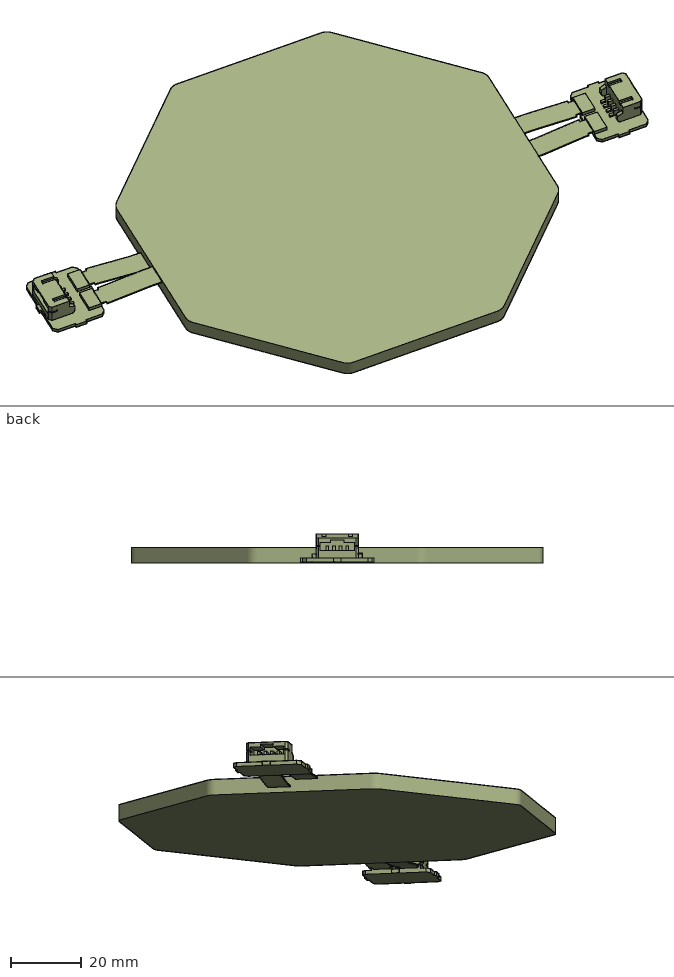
import cadquery as cq
import math

plate_sides = 8
plate_width = 116.3
plate_thickness = 4.5
plate_corner_radius = 3.7

overall_length = 187.2
end_drop = 1.1

board_width = 19.7
board_length = 16.1
board_thickness = 1.1
board_top = 2.6
board_corner = 1.1
side_ear_reach = 0.5
side_ear_width = 3.4
side_ear_offset = 8.2
end_ear_reach = 0.5
end_ear_width = 2.2

housing_width = 12.0
housing_top = 8.2
housing_setback = 0.4
housing_length = 6.2
mouth_chamfer = 0.7
arm_width = 1.1
arm_length = 1.7
arm_root_top = 6.0
arm_tip_top = 5.2
arm_tip_bottom = 3.4
arm_undercut = 0.5
wall_thickness = 1.1
back_wall = 0.7
cavity_floor = 4.7
cavity_roof = 7.0
keyway_width = 3.7
keyway_roof = 7.7
side_slot_depth = 2.5
side_slot_height = 0.4
side_slot_level = 5.8
roof_slot_width = 1.1
roof_slot_length = 4.0
roof_slot_depth = 0.7
roof_slot_offset = 3.7

pin_count = 4
pin_pitch = 1.9
pin_width = 0.7
prong_top = 6.0
prong_length = 3.4
leg_top = 4.7
leg_length = 1.5
foot_height = 0.5
foot_length = 2.8

ribbon_width = 6.4
ribbon_gap = 1.5
ribbon_thickness = 0.4
ribbon_board_level = 3.0
ribbon_high_level = 3.7
ribbon_low_level = 1.7
ribbon_flat = 3.4
ribbon_lead = 1.1
neck_length = 1.7
neck_width = 5.0
terminal_length = 4.0
terminal_height = 1.1

board_outer = overall_length / 2 - end_ear_reach
board_inner = board_outer - board_length
housing_mouth = housing_setback - board_outer
housing_back = housing_mouth + housing_length
plate_edge = plate_width / 2
ribbon_offset = (ribbon_width + ribbon_gap) / 2
ribbon_start = board_inner - neck_length


def box(width, y_start, y_end, z_bottom, z_top, x_center=0.0):
    """Axis-aligned block centred on x_center."""
    return (
        cq.Workplane("XY")
        .box(width, y_end - y_start, z_top - z_bottom, centered=(True, False, False))
        .translate((x_center, y_start, z_bottom))
    )


def make_octagon():
    half_step = 180 / plate_sides
    corner_diameter = plate_width / math.cos(math.radians(half_step))
    return (
        cq.Workplane("XY")
        .polygon(plate_sides, corner_diameter)
        .extrude(plate_thickness)
        .rotate((0, 0, 0), (0, 0, 1), half_step)
        .edges("|Z")
        .fillet(plate_corner_radius)
    )


def make_board():
    bottom = board_top - board_thickness
    board = box(board_width, -board_outer, -board_inner, bottom, board_top)
    board = board.edges("|Z").chamfer(board_corner)
    ear_y = side_ear_offset - board_outer
    side_ears = box(board_width + 2 * side_ear_reach, ear_y - side_ear_width / 2, ear_y + side_ear_width / 2,
                    bottom, board_top)
    end_ears = box(end_ear_width, -board_outer - end_ear_reach, -board_inner + end_ear_reach,
                   bottom, board_top)
    return board.union(side_ears).union(end_ears)


def make_housing_arm(x_center):
    """Arm behind a side wall, with a sloping top and an undercut foot."""
    return (
        cq.Workplane("YZ")
        .polyline([
            (housing_back, board_top),
            (housing_back + arm_length - arm_undercut, board_top),
            (housing_back + arm_length, arm_tip_bottom),
            (housing_back + arm_length, arm_tip_top),
            (housing_back, arm_root_top),
        ])
        .close()
        .extrude(arm_width / 2, both=True)
        .translate((x_center, 0, 0))
    )


def make_housing():
    """Connector housing, open towards the outer end of the board."""
    housing = box(housing_width, housing_mouth, housing_back, board_top, housing_top)
    housing = housing.faces("<Y").edges("|Z").chamfer(mouth_chamfer)

    cavity_back = housing_back - back_wall
    cavity_width = housing_width - 2 * wall_thickness
    cavity = box(cavity_width, housing_mouth, cavity_back, cavity_floor, cavity_roof)
    keyway = box(keyway_width, housing_mouth, cavity_back, cavity_roof, keyway_roof)
    side_slots = box(housing_width, housing_mouth, housing_mouth + side_slot_depth,
                     side_slot_level, side_slot_level + side_slot_height)
    housing = housing.cut(cavity).cut(keyway).cut(side_slots)

    arm_offset = (housing_width - arm_width) / 2
    for side in (-1, 1):
        roof_slot = box(roof_slot_width, housing_back - roof_slot_length, housing_back,
                        housing_top - roof_slot_depth, housing_top, side * roof_slot_offset)
        housing = housing.cut(roof_slot).union(make_housing_arm(side * arm_offset))
    return housing


def make_pin(x_center):
    """Contact with a prong in the cavity and a leg and foot behind the housing."""
    prong_start = housing_back - back_wall - prong_length
    prong = box(pin_width, prong_start, housing_back, cavity_floor, prong_top, x_center)
    leg = box(pin_width, housing_back, housing_back + leg_length, board_top, leg_top, x_center)
    foot = box(pin_width, housing_back, housing_back + foot_length, board_top, board_top + foot_height, x_center)
    return prong.union(leg).union(foot)


def make_terminal(x_center):
    """Terminal block on the board and the narrow neck that leads to the ribbon."""
    block = box(ribbon_width, -board_inner - terminal_length, -board_inner,
                board_top, board_top + terminal_height, x_center)
    neck = box(neck_width, -board_inner, -ribbon_start,
               ribbon_board_level - ribbon_thickness / 2, ribbon_board_level + ribbon_thickness / 2, x_center)
    return block.union(neck)


def make_connector_end():
    """Board, housing, pins and terminals of the -Y end."""
    end = make_board().union(make_housing())
    for index in range(pin_count):
        end = end.union(make_pin((index - (pin_count - 1) / 2) * pin_pitch))
    for side in (-1, 1):
        end = end.union(make_terminal(side * ribbon_offset))
    return end


def make_ribbon(x_center, front_level, back_level):
    """Full-length ribbon given its levels at the -Y and +Y edges of the plate."""
    flat_end = plate_edge + ribbon_flat
    lead_end = ribbon_start - ribbon_lead
    back_board_level = ribbon_board_level - end_drop
    path = [
        (-ribbon_start, ribbon_board_level),
        (-lead_end, ribbon_board_level),
        (-flat_end, front_level),
        (-plate_edge, front_level),
        (plate_edge, back_level),
        (flat_end, back_level),
        (lead_end, back_board_level),
        (ribbon_start, back_board_level),
    ]
    half = ribbon_thickness / 2
    upper = [(y, z + half) for y, z in path]
    lower = [(y, z - half) for y, z in reversed(path)]
    return (
        cq.Workplane("YZ")
        .polyline(upper + lower)
        .close()
        .extrude(ribbon_width / 2, both=True)
        .translate((x_center, 0, 0))
    )


left_ribbon = make_ribbon(-ribbon_offset, ribbon_low_level, ribbon_high_level - end_drop)
right_ribbon = make_ribbon(ribbon_offset, ribbon_high_level, ribbon_low_level - end_drop)
ribbons = left_ribbon.union(right_ribbon)

front_end = make_connector_end()
back_end = front_end.rotate((0, 0, 0), (0, 0, 1), 180).translate((0, 0, -end_drop))
harness = ribbons.union(front_end).union(back_end)

plate = make_octagon().cut(ribbons)

result = cq.Compound.makeCompound([plate.val(), *harness.vals()])